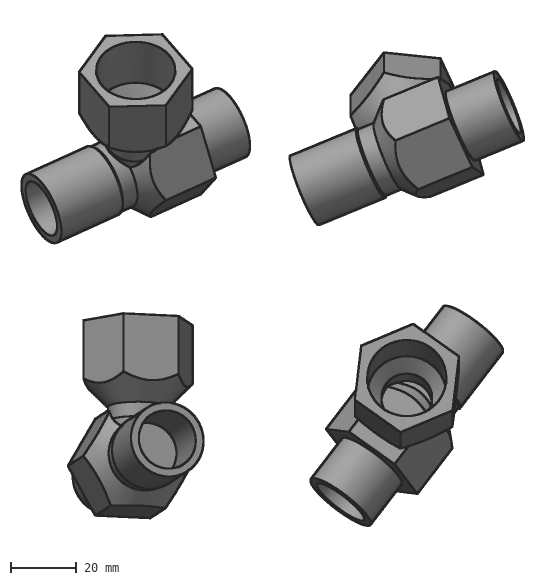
import cadquery as cq

hex_flats = 30.0
hex_corners = hex_flats * 2 / 3 ** 0.5
hex_length = 18.0

neck_diameter = 22.0
branch_diameter = 18.5
pipe_diameter = 23.0
seat_distance = pipe_diameter / 2

pipe_bore = 18.0
run_half_length = 34.0

nut_bore = 24.15
nut_throat = 15.5
nut_top = 42.0


def coned_hexagon(end_diameter):
    """Hexagon from Z = 0 to hex_length with a 45 degree cone below it, narrowing to end_diameter."""
    cone_height = (hex_corners - end_diameter) / 2
    prism = (
        cq.Workplane("XY", origin=(0, 0, -cone_height))
        .polygon(6, hex_corners)
        .extrude(hex_length + cone_height)
    )
    envelope = (
        cq.Workplane("XZ")
        .moveTo(0, -cone_height)
        .lineTo(end_diameter / 2, -cone_height)
        .lineTo(hex_corners / 2, 0)
        .lineTo(hex_corners / 2, hex_length)
        .lineTo(0, hex_length)
        .close()
        .revolve(360, (0, 0, 0), (0, 1, 0))
    )
    return prism.intersect(envelope)


def make_core():
    """Solid hexagonal core with a neck toward -Y and a round branch toward +Z."""
    hexagon = coned_hexagon(neck_diameter).rotate((0, 0, 0), (1, 0, 0), -90)
    neck = cq.Workplane("XZ").circle(neck_diameter / 2).extrude(seat_distance)
    branch = cq.Workplane("XY").circle(branch_diameter / 2).extrude(seat_distance)
    return hexagon.union(neck).union(branch)


def make_pipe(start_y, end_y):
    """Tube along Y between two end planes."""
    return (
        cq.Workplane("XZ", origin=(0, start_y, 0))
        .circle(pipe_diameter / 2)
        .circle(pipe_bore / 2)
        .extrude(start_y - end_y)
    )


def make_union_nut(core):
    """Hexagonal nut whose collar stands on the branch and fits around the core."""
    hexagon = coned_hexagon(branch_diameter).translate((0, 0, nut_top - hex_length))
    collar = (
        cq.Workplane("XY", origin=(0, 0, seat_distance))
        .circle(branch_diameter / 2)
        .extrude(nut_top - hex_length - seat_distance)
    )
    bore_floor = nut_top - hex_length
    cone_bottom = bore_floor - (nut_bore - nut_throat) / 2
    passage = (
        cq.Workplane("XZ")
        .moveTo(0, seat_distance)
        .lineTo(nut_throat / 2, seat_distance)
        .lineTo(nut_throat / 2, cone_bottom)
        .lineTo(nut_bore / 2, bore_floor)
        .lineTo(nut_bore / 2, nut_top)
        .lineTo(0, nut_top)
        .close()
        .revolve(360, (0, 0, 0), (0, 1, 0))
    )
    return hexagon.union(collar).cut(passage).cut(core)


core = make_core()
front_chamfer = (pipe_diameter - neck_diameter) / 2
front_pipe = (
    make_pipe(-seat_distance, -run_half_length)
    .faces(">Y")
    .edges(cq.selectors.RadiusNthSelector(-1))
    .chamfer(front_chamfer)
)
rear_pipe = make_pipe(run_half_length, hex_length)
union_nut = make_union_nut(core)

result = cq.Compound.makeCompound([core.val(), front_pipe.val(), rear_pipe.val(), union_nut.val()])